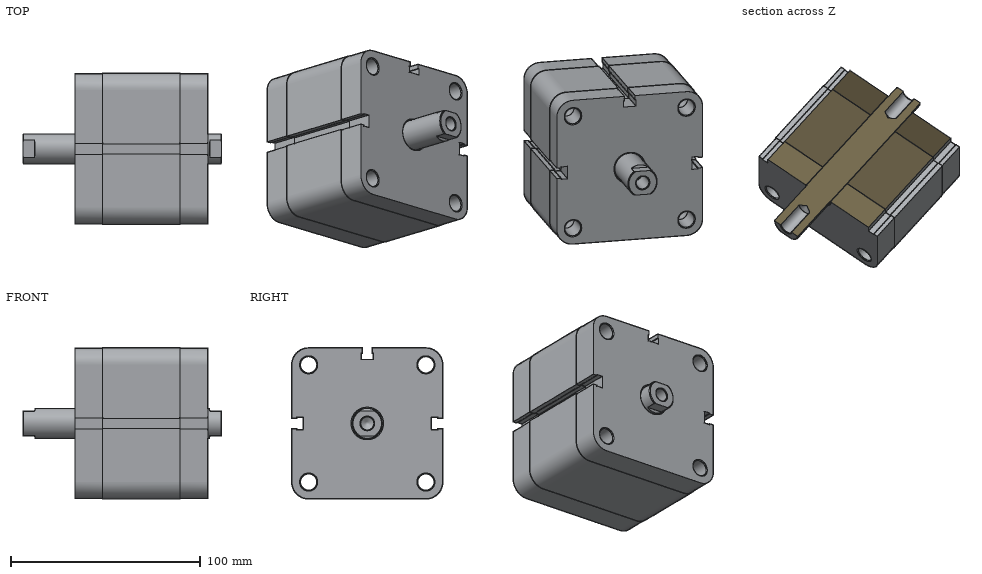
import cadquery as cq
import math

total_length = 105.0
rod_reach_front = 27.5
rod_reach_rear = 7.2
front_cap_length = 14.6
rear_cap_length = 14.8
front_x = rod_reach_front
rear_x = total_length - rod_reach_rear
tube_start_x = front_x + front_cap_length
tube_end_x = rear_x - rear_cap_length

tube_side = 80.0
cap_setback = 0.2
cap_side = tube_side - 2 * cap_setback
corner_radius = 9.0

slot_floor = 33.9
slot_lip = 37.1
tube_mouth_width = 5.2
tube_undercut_width = 6.3
cap_slot_clearance = 0.26
slot_angles = [-90, 0, 90]

screw_offset = 31.0
screw_diameter = 8.6
screw_mouth_diameter = 9.6

rod_diameter = 16.0
rod_chamfer = 0.4
bore_mouth_diameter = 17.2
flat_width = 13.0
flat_length = 6.1
flat_wall_run = 0.4
thread_diameter = 6.9
thread_mouth_diameter = 7.8
thread_depth = 15.8
drill_point_angle = 118.0


def x_plane(x):
    """Plane facing +X with local axes along Y and Z."""
    return cq.Workplane("YZ", origin=(x, 0, 0))


def cone_mouth(x, y, z, diameter, mouth_diameter, direction):
    """45 degree countersink that opens at x and narrows along direction."""
    depth = (mouth_diameter - diameter) / 2
    cone = cq.Solid.makeCone(
        mouth_diameter / 2, diameter / 2, depth, cq.Vector(x, y, z), cq.Vector(direction, 0, 0)
    )
    return cq.Workplane(obj=cone)


def screw_points():
    return [(y, z) for y in (-screw_offset, screw_offset) for z in (-screw_offset, screw_offset)]


def slot_cutter(start_x, length, clearance):
    """Stepped slot that opens upward, wider below its lip."""
    mouth_width = tube_mouth_width + 2 * clearance
    undercut_width = tube_undercut_width + 2 * clearance
    undercut_height = slot_lip + clearance - slot_floor
    mouth = x_plane(start_x).rect(mouth_width, tube_side).extrude(length)
    mouth = mouth.translate((0, 0, slot_floor + tube_side / 2))
    undercut = x_plane(start_x).rect(undercut_width, undercut_height).extrude(length)
    undercut = undercut.translate((0, 0, slot_floor + undercut_height / 2))
    return mouth.union(undercut)


def make_section(start_x, length, side, slot_clearance):
    """Rounded square block with its slots, screw holes and rod bore."""
    block = x_plane(start_x).rect(side, side).extrude(length)
    block = block.edges("|X").fillet(corner_radius - (tube_side - side) / 2)
    slot = slot_cutter(start_x, length, slot_clearance)
    for angle in slot_angles:
        block = block.cut(slot.rotate((0, 0, 0), (1, 0, 0), angle))
    screw_holes = x_plane(start_x).pushPoints(screw_points()).circle(screw_diameter / 2).extrude(length)
    rod_bore = x_plane(start_x).circle(rod_diameter / 2).extrude(length)
    return block.cut(screw_holes).cut(rod_bore)


def make_cap(start_x, length, outer_x, inward):
    """End cap whose screw holes and rod bore are countersunk on the outer face."""
    cap = make_section(start_x, length, cap_side, cap_slot_clearance)
    for y, z in screw_points():
        cap = cap.cut(cone_mouth(outer_x, y, z, screw_diameter, screw_mouth_diameter, inward))
    return cap.cut(cone_mouth(outer_x, 0, 0, rod_diameter, bore_mouth_diameter, inward))


def make_tube():
    return make_section(tube_start_x, tube_end_x - tube_start_x, tube_side, slot_clearance=0)


def flat_cutter():
    """Wedge above the upper wrench flat at the front end of the rod."""
    flat_z = flat_width / 2
    top_z = rod_diameter / 2
    profile = [(0, flat_z), (flat_length, flat_z), (flat_length + flat_wall_run, top_z), (0, top_z)]
    return cq.Workplane("XZ").polyline(profile).close().extrude(rod_diameter / 2, both=True)


def thread_hole_cutter():
    """Blind countersunk hole with a drill point, entering the front end of the rod."""
    radius = thread_diameter / 2
    point_length = radius / math.tan(math.radians(drill_point_angle / 2))
    profile = [(0, 0), (0, radius), (thread_depth, radius), (thread_depth + point_length, 0)]
    hole = cq.Workplane("XY").polyline(profile).close().revolve(360, (0, 0, 0), (1, 0, 0))
    return hole.union(cone_mouth(0, 0, 0, thread_diameter, thread_mouth_diameter, 1))


def make_rod():
    """Through rod with wrench flats and a blind threaded hole at both ends."""
    rod = x_plane(0).circle(rod_diameter / 2).extrude(total_length).faces("<X or >X").chamfer(rod_chamfer)
    front_flat = flat_cutter()
    for cutter in (front_flat, front_flat.mirror("XY"), thread_hole_cutter()):
        rear_cutter = cutter.mirror("YZ", (total_length / 2, 0, 0))
        rod = rod.cut(cutter).cut(rear_cutter)
    return rod


front_cap = make_cap(front_x, front_cap_length, front_x, 1)
tube = make_tube()
rear_cap = make_cap(tube_end_x, rear_cap_length, rear_x, -1)
rod = make_rod()

result = cq.Compound.makeCompound([front_cap.val(), tube.val(), rear_cap.val(), rod.val()])